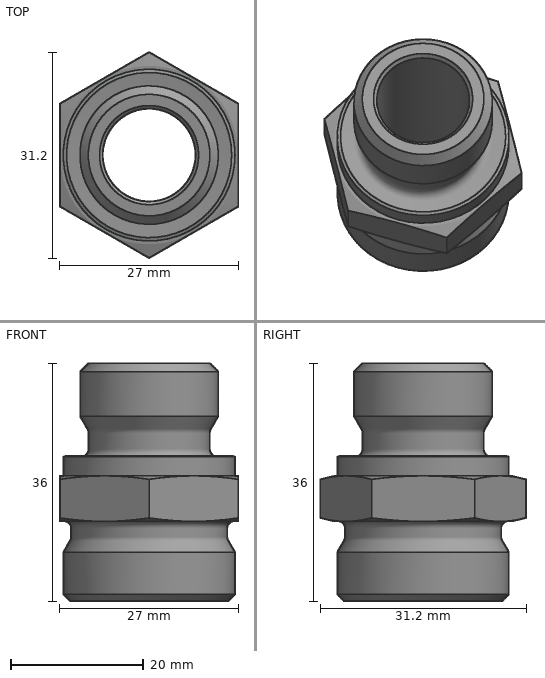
import cadquery as cq
import math

length = 36.0
hex_flats = 27.0
hex_bottom = 12.05
hex_top = 18.95
hex_chamfer_angle = math.radians(14)

bore_radius = 14.0 / 2
bore_chamfer = 0.5

upper_radius = 20.95 / 2
upper_groove_radius = 18.4 / 2
upper_chamfer = upper_radius - upper_groove_radius
upper_stud_bottom = 27.97
upper_fillet = 1.2

collar_radius = 26.0 / 2
collar_top = 22.0
rim_width = 0.5
rim_drop = 0.15
dish_angle = math.radians(5)

lower_radius = collar_radius
lower_groove_radius = 23.7 / 2
lower_chamfer = 1.0
lower_stud_top = 7.4
lower_fillet = 1.0

flank_angle = math.radians(30)


def arc_point(center, radius, angle):
    """Point on a circle in the radius-height plane."""
    return (center[0] + radius * math.cos(angle), center[1] + radius * math.sin(angle))


def flank_blend(stud_radius, stud_end, groove_radius, fillet, direction):
    """Start, middle and end of the arc joining a groove flank to the groove floor.

    direction is +1 when the groove lies above the stud and -1 when it lies below.
    """
    flank_foot = groove_radius + fillet * (1 - math.cos(flank_angle))
    flank_height = (stud_radius - flank_foot) / math.tan(flank_angle)
    floor_height = stud_end + direction * (flank_height + fillet * math.sin(flank_angle))
    center = (groove_radius + fillet, floor_height)
    start_angle = math.pi + direction * flank_angle
    middle_angle = math.pi + direction * flank_angle / 2
    return [arc_point(center, fillet, angle) for angle in (start_angle, middle_angle, math.pi)]


def dish_blend():
    """Start, middle and end of the arc from the dished face to the upper groove floor."""
    center_radius = upper_groove_radius + upper_fillet
    foot_radius = center_radius + upper_fillet * math.sin(dish_angle)
    rim_radius = collar_radius - rim_width
    foot_height = collar_top - (rim_radius - foot_radius) * math.tan(dish_angle)
    center = (center_radius, foot_height + upper_fillet * math.cos(dish_angle))
    start_angle = 1.5 * math.pi + dish_angle
    middle_angle = (start_angle + math.pi) / 2
    return [arc_point(center, upper_fillet, angle) for angle in (start_angle, middle_angle, math.pi)]


def turned_body():
    """Both studs, their grooves and the collar as one solid of revolution."""
    lower_start, lower_middle, lower_end = flank_blend(
        lower_radius, lower_stud_top, lower_groove_radius, lower_fillet, 1
    )
    upper_start, upper_middle, upper_end = flank_blend(
        upper_radius, upper_stud_bottom, upper_groove_radius, upper_fillet, -1
    )
    dish_start, dish_middle, dish_end = dish_blend()
    shoulder_center = (lower_groove_radius + lower_fillet, hex_bottom - lower_fillet)
    return (
        cq.Workplane("XZ")
        .lineTo(lower_radius - lower_chamfer, 0)
        .lineTo(lower_radius, lower_chamfer)
        .lineTo(lower_radius, lower_stud_top)
        .lineTo(*lower_start)
        .threePointArc(lower_middle, lower_end)
        .lineTo(*arc_point(shoulder_center, lower_fillet, math.pi))
        .threePointArc(
            arc_point(shoulder_center, lower_fillet, 0.75 * math.pi),
            arc_point(shoulder_center, lower_fillet, 0.5 * math.pi),
        )
        .lineTo(collar_radius, hex_bottom)
        .lineTo(collar_radius, collar_top - rim_drop)
        .lineTo(collar_radius - rim_width, collar_top)
        .lineTo(*dish_start)
        .threePointArc(dish_middle, dish_end)
        .lineTo(*upper_end)
        .threePointArc(upper_middle, upper_start)
        .lineTo(upper_radius, upper_stud_bottom)
        .lineTo(upper_radius, length - upper_chamfer)
        .lineTo(upper_radius - upper_chamfer, length)
        .lineTo(0, length)
        .close()
        .revolve(360, (0, 0, 0), (0, 1, 0))
    )


def hexagon():
    """Wrench hexagon with flats facing X and conically chamfered corners."""
    flat_radius = hex_flats / 2
    corner_radius = flat_radius / math.cos(math.radians(30))
    corner_drop = (corner_radius - flat_radius) * math.tan(hex_chamfer_angle)
    prism = (
        cq.Workplane("XY")
        .workplane(offset=hex_bottom)
        .transformed(rotate=(0, 0, 90))
        .polygon(6, 2 * corner_radius)
        .extrude(hex_top - hex_bottom)
    )
    chamfer_envelope = (
        cq.Workplane("XZ")
        .moveTo(0, hex_bottom)
        .lineTo(flat_radius, hex_bottom)
        .lineTo(corner_radius, hex_bottom + corner_drop)
        .lineTo(corner_radius, hex_top - corner_drop)
        .lineTo(flat_radius, hex_top)
        .lineTo(0, hex_top)
        .close()
        .revolve(360, (0, 0, 0), (0, 1, 0))
    )
    return prism.intersect(chamfer_envelope)


def bore():
    """Straight through bore with a chamfered upper mouth."""
    return (
        cq.Workplane("XZ")
        .lineTo(bore_radius, 0)
        .lineTo(bore_radius, length - bore_chamfer)
        .lineTo(bore_radius + bore_chamfer, length)
        .lineTo(0, length)
        .close()
        .revolve(360, (0, 0, 0), (0, 1, 0))
    )


result = turned_body().union(hexagon()).cut(bore())